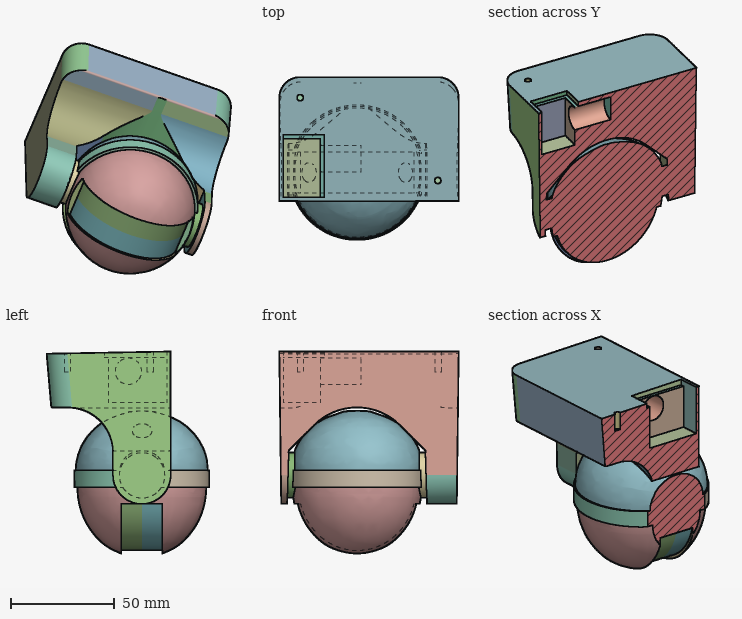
import cadquery as cq
import math


top_width = 86.5
arm_bottom_width = 84.6
housing_depth = 59.8
back_drop = 1.1
back_draft = 2.2
corner_radius = 10.0
shelf_z = -27.1
underside_radius = 21.4
shelf_edge_radius = 1.0

arm_depth = 27.8
arm_radius = arm_depth / 2
pivot_y = arm_radius
pivot_z = -59.6
arm_bottom = pivot_z - arm_radius
pivot_radius = 10.9

ball_x = -5.8
arch_top = -27.0
arch_radius = 29.2
opening_half_top = 32.9
opening_half_bottom = 33.6

belt_top = -57.3
belt_bottom = -65.5
belt_radius = 32.6
upper_dome_radius = 31.9
lower_dome_radius = 31.1
upper_dome_height = 28.8
bottom_z = -97.5
dome_steps = 6
belt_half_width = 30.9
upper_half_width = 30.0
recess_width = 19.7
recess_floor_z = -95.7
recess_floor_half_width = 28.3

recess_ratio = recess_width / 2 / lower_dome_radius
lower_dome_height = (belt_bottom - bottom_z) / math.sqrt(1 - recess_ratio**2)

pocket_left = -41.3
pocket_front = 1.9
pocket_length_x = 17.9
pocket_length_y = 28.2
pocket_ledge = 1.95
ledge_depth = 2.9
pocket_depth = 24.4
cable_hole_y = 20.5
cable_hole_z = -9.5
cable_hole_diameter = 12.7
cable_hole_length = 19.5

hole_places = [(-33.1, 49.8), (33.1, 9.9)]
hole_diameter = 3.0
hole_depth = 9.75

margin = 4.9


def box(x_size, y_size, z_size, x, y, z):
    """Box with its lowest corner at x, y, z."""
    return cq.Workplane("XY").box(x_size, y_size, z_size, centered=False).translate((x, y, z))


def x_rod(radius, x_start, length, y, z):
    """Round rod along X."""
    return cq.Workplane("YZ", origin=(x_start, y, z)).circle(radius).extrude(length)


def back_y(z):
    """Place of the leaning back face at height z."""
    return housing_depth - back_draft * (-back_drop - z) / (-back_drop - shelf_z)


def make_block():
    """Drafted block with two rounded back corners."""
    back_bottom_y = back_y(arm_bottom)
    side = (
        cq.Workplane("YZ")
        .polyline([(0, 0), (housing_depth, -back_drop), (back_bottom_y, arm_bottom), (0, arm_bottom)])
        .close()
        .extrude(top_width / 2, both=True)
    )
    front = (
        cq.Workplane("XZ")
        .polyline([
            (-top_width / 2, 0),
            (top_width / 2, 0),
            (arm_bottom_width / 2, arm_bottom),
            (-arm_bottom_width / 2, arm_bottom),
        ])
        .close()
        .extrude(-housing_depth)
    )
    return side.intersect(front).faces(">Y").edges("not |X").fillet(corner_radius)


def make_side_outline():
    """Back shelf curving down into the round-ended arms."""
    arc_y = arm_depth + underside_radius
    arc_z = shelf_z - underside_radius
    diagonal = underside_radius * math.sqrt(0.5)
    shelf_edge = cq.selectors.BoxSelector(
        (-top_width, back_y(shelf_z) - shelf_edge_radius, shelf_z - shelf_edge_radius),
        (top_width, back_y(shelf_z) + shelf_edge_radius, shelf_z + shelf_edge_radius),
    )
    return (
        cq.Workplane("YZ")
        .moveTo(0, 0)
        .lineTo(back_y(0), 0)
        .lineTo(back_y(shelf_z), shelf_z)
        .lineTo(arc_y, shelf_z)
        .threePointArc((arc_y - diagonal, arc_z + diagonal), (arm_depth, arc_z))
        .lineTo(arm_depth, pivot_z)
        .threePointArc((pivot_y, arm_bottom), (0, pivot_z))
        .close()
        .extrude(top_width / 2, both=True)
        .edges("|X")
        .edges(shelf_edge)
        .fillet(shelf_edge_radius)
    )


def make_opening():
    """Arch with 45 degree shoulders, open at the bottom and right through in Y."""
    tangent_x = arch_radius * math.sqrt(0.5)
    tangent_z = arch_top - arch_radius + tangent_x
    shoulder_z = tangent_z - (opening_half_top - tangent_x)
    return (
        cq.Workplane("XZ", origin=(ball_x, 0, 0))
        .moveTo(-opening_half_bottom, arm_bottom)
        .lineTo(-opening_half_top, shoulder_z)
        .lineTo(-tangent_x, tangent_z)
        .threePointArc((0, arch_top), (tangent_x, tangent_z))
        .lineTo(opening_half_top, shoulder_z)
        .lineTo(opening_half_bottom, arm_bottom)
        .close()
        .extrude(-housing_depth)
    )


def make_pocket():
    """Stepped pocket with a cable hole leaving through its +X wall."""
    bottom = box(pocket_length_x, pocket_length_y, pocket_depth, pocket_left, pocket_front, -pocket_depth)
    ledge = box(
        pocket_length_x + pocket_ledge,
        pocket_length_y + pocket_ledge,
        ledge_depth + margin,
        pocket_left,
        pocket_front,
        -ledge_depth,
    )
    wall_x = pocket_left + pocket_length_x
    cable_hole = x_rod(cable_hole_diameter / 2, wall_x, cable_hole_length, cable_hole_y, cable_hole_z)
    return bottom.union(ledge).union(cable_hole)


def make_housing():
    body = make_block().intersect(make_side_outline())
    holes = (
        cq.Workplane("XY", origin=(0, 0, -hole_depth))
        .pushPoints(hole_places)
        .circle(hole_diameter / 2)
        .extrude(hole_depth + margin)
    )
    return body.cut(make_opening()).cut(make_pocket()).cut(holes)


def make_dome(base_z, radius, height):
    """Half ellipsoid on a base at base_z; a negative height points down."""
    profile = cq.Workplane("XZ").lineTo(radius, 0)
    step = math.pi / 2 / dome_steps
    points = [
        (radius * math.cos(i * step), height * math.sin(i * step))
        for i in range(1, dome_steps + 1)
    ]
    dome = profile.spline(points, tangents=[(0, height), (-radius, 0)], includeCurrent=True)
    return dome.close().revolve(360, (0, 0, 0), (0, 1, 0)).translate((0, 0, base_z))


def make_recess():
    """Channel across the bottom of the ball, leaving a shallower curved floor."""
    height = arm_bottom - bottom_z
    channel = box(
        2 * belt_radius, recess_width, height + margin, -belt_radius, -recess_width / 2, bottom_z - margin
    )
    floor = (
        cq.Workplane("XZ", origin=(0, 0, belt_bottom))
        .ellipse(recess_floor_half_width, belt_bottom - recess_floor_z)
        .extrude(recess_width / 2 + margin, both=True)
    )
    return channel.cut(floor)


def between_flats(body, half_width):
    """Trim a body centred on X to flats at plus and minus half_width."""
    return body.intersect(cq.Workplane("XY").box(2 * half_width, 4 * belt_radius, -4 * bottom_z))


def make_ball():
    belt = cq.Workplane("XY", origin=(0, 0, belt_bottom)).circle(belt_radius).extrude(belt_top - belt_bottom)
    upper = between_flats(make_dome(belt_top, upper_dome_radius, upper_dome_height), upper_half_width)
    lower = make_dome(belt_bottom, lower_dome_radius, -lower_dome_height).cut(make_recess())
    ball = between_flats(belt.union(lower), belt_half_width).union(upper)
    return ball.translate((ball_x, pivot_y, 0))


pivot = x_rod(pivot_radius, ball_x - opening_half_bottom, 2 * opening_half_bottom, pivot_y, pivot_z)
result = make_housing().union(make_ball()).union(pivot)